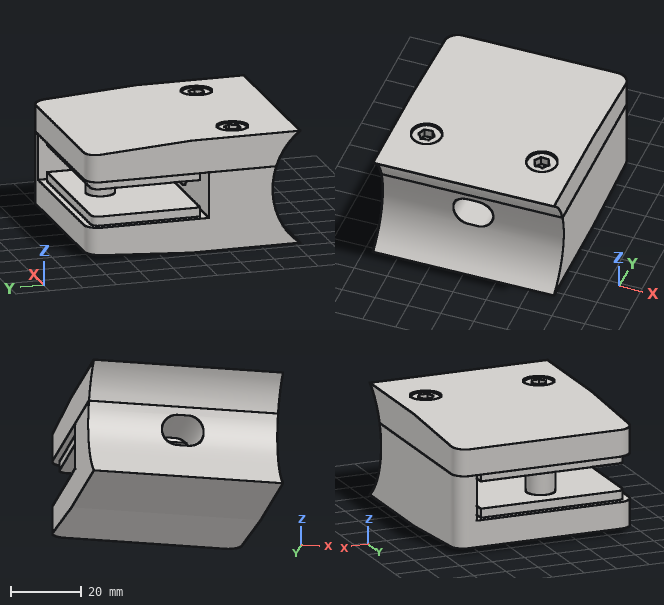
import cadquery as cq
import math

WIDTH = 55.0
LENGTH = 63.2
HEIGHT = 33.5

SADDLE_RADIUS = 21.2
TAPER_START_Y = 32.25
TAPER_DROP = 1.95
CORNER_RADIUS = 4.1

SLOT_HEIGHT = 13.6
SLOT_BACK_Y = 27.2
SLOT_WALL = 6.3

PAD_THICKNESS = 2.7
PAD_INSET = 2.0

PIN_DIAMETER = 8.5
PIN_Y = 52.15

FIXING_HOLE_WIDTH = 12.15
FIXING_HOLE_HEIGHT = 9.15

SCREW_X = 17.5
SCREW_Y = 17.2
HEAD_DIAMETER = 9.0
HEAD_HEIGHT = 5.05
HEAD_RECESS = 0.3
HEAD_FILLET = 0.6
SHANK_DIAMETER = 5.05
SHANK_LENGTH = 15.15
SOCKET_ACROSS_CORNERS = 4.7
SOCKET_DEPTH = 2.5
SOCKET_TURN = 5.0

TOP_Z = HEIGHT / 2
JAW_Z = SLOT_HEIGHT / 2
PAD_FACE_Z = JAW_Z - PAD_THICKNESS
WALL_X = WIDTH / 2 - SLOT_WALL
SLOT_MID_X = (WALL_X - WIDTH / 2) / 2
HEAD_TOP_Z = TOP_Z - HEAD_RECESS
HEAD_SEAT_Z = HEAD_TOP_Z - HEAD_HEIGHT
SHANK_END_Z = HEAD_SEAT_Z - SHANK_LENGTH
SADDLE_AXIS_Y = -math.sqrt(SADDLE_RADIUS**2 - TOP_Z**2)
SADDLE_FLOOR_Y = SADDLE_AXIS_Y + SADDLE_RADIUS


def block(x_min, x_max, y_min, y_max, z_min, z_max):
    """Axis-aligned box given by its limits."""
    size = (x_max - x_min, y_max - y_min, z_max - z_min)
    return cq.Workplane("XY").box(*size, centered=False).translate((x_min, y_min, z_min))


def make_clamp_blank():
    """Both clamp halves as one block: tapered side profile, saddle and rounded jaw corners."""
    end_z = TOP_Z - TAPER_DROP
    return (
        cq.Workplane("YZ")
        .moveTo(0, -TOP_Z)
        .lineTo(TAPER_START_Y, -TOP_Z)
        .lineTo(LENGTH, -end_z)
        .lineTo(LENGTH, end_z)
        .lineTo(TAPER_START_Y, TOP_Z)
        .lineTo(0, TOP_Z)
        .threePointArc((SADDLE_FLOOR_Y, 0), (0, -TOP_Z))
        .close()
        .extrude(WIDTH / 2, both=True)
        .edges("|Z and >Y")
        .fillet(CORNER_RADIUS)
    )


def make_fixing_hole_cutter():
    """Oblong bar along Y from in front of the clamp to the back of the slot."""
    return (
        cq.Workplane("XZ")
        .slot2D(FIXING_HOLE_WIDTH, FIXING_HOLE_HEIGHT)
        .extrude(-SLOT_BACK_Y)
    )


def make_screw(x, turn):
    """Socket head screw with its axis at x, its hexagon socket turned by the given angle."""
    head = (
        cq.Workplane("XY", origin=(0, 0, HEAD_SEAT_Z))
        .circle(HEAD_DIAMETER / 2)
        .extrude(HEAD_HEIGHT)
        .faces(">Z")
        .edges()
        .fillet(HEAD_FILLET)
    )
    shank = (
        cq.Workplane("XY", origin=(0, 0, SHANK_END_Z))
        .circle(SHANK_DIAMETER / 2)
        .extrude(SHANK_LENGTH)
    )
    socket = (
        cq.Workplane("XY", origin=(0, 0, HEAD_TOP_Z))
        .polygon(6, SOCKET_ACROSS_CORNERS)
        .extrude(-SOCKET_DEPTH)
        .rotate((0, 0, 0), (0, 0, 1), turn)
    )
    return head.union(shank).cut(socket).translate((x, SCREW_Y, 0))


def make_screw_hole_cutter():
    """Counterbores and shank holes for both screws."""
    points = [(-SCREW_X, SCREW_Y), (SCREW_X, SCREW_Y)]
    counterbores = (
        cq.Workplane("XY", origin=(0, 0, HEAD_SEAT_Z))
        .pushPoints(points)
        .circle(HEAD_DIAMETER / 2)
        .extrude(TOP_Z - HEAD_SEAT_Z)
    )
    shank_holes = (
        cq.Workplane("XY", origin=(0, 0, SHANK_END_Z))
        .pushPoints(points)
        .circle(SHANK_DIAMETER / 2)
        .extrude(SHANK_LENGTH)
    )
    return counterbores.union(shank_holes)


def make_upper_clamp(blank):
    """Plate above the parting plane, with the counterbored screw holes."""
    above_parting = block(-WIDTH / 2, WIDTH / 2, 0, LENGTH, JAW_Z, TOP_Z)
    return blank.intersect(above_parting).cut(make_screw_hole_cutter())


def make_lower_clamp(blank):
    """Body below the parting plane, with the slot, the end wall and the fixing hole."""
    below_parting = block(-WIDTH / 2, WIDTH / 2, 0, LENGTH, -TOP_Z, JAW_Z)
    slot = block(-WIDTH / 2, WALL_X, SLOT_BACK_Y, LENGTH, -JAW_Z, JAW_Z)
    return (
        blank.intersect(below_parting)
        .cut(slot)
        .cut(make_fixing_hole_cutter())
        .cut(make_screw_hole_cutter())
    )


def make_pad(bottom_z):
    """Flat pad with the jaw's rounded corner carried inward to its own free corner."""
    return (
        block(
            -WIDTH / 2 + PAD_INSET,
            WALL_X - PAD_INSET,
            SLOT_BACK_Y + PAD_INSET,
            LENGTH - PAD_INSET,
            bottom_z,
            bottom_z + PAD_THICKNESS,
        )
        .edges("|Z and >Y and <X")
        .fillet(CORNER_RADIUS - PAD_INSET)
    )


def make_pin():
    """Round pin spanning the gap between the pads."""
    return (
        cq.Workplane("XY", origin=(SLOT_MID_X, PIN_Y, -PAD_FACE_Z))
        .circle(PIN_DIAMETER / 2)
        .extrude(2 * PAD_FACE_Z)
    )


clamp_blank = make_clamp_blank()
upper_clamp = make_upper_clamp(clamp_blank)
lower_clamp = make_lower_clamp(clamp_blank)
pads = [make_pad(bottom_z) for bottom_z in (-JAW_Z, PAD_FACE_Z)]
pin = make_pin()
screws = [make_screw(side * SCREW_X, -side * SOCKET_TURN) for side in (-1, 1)]

result = cq.Compound.makeCompound([
    upper_clamp.val(),
    lower_clamp.val(),
    pin.val(),
    *[pad.val() for pad in pads],
    *[screw.val() for screw in screws],
])